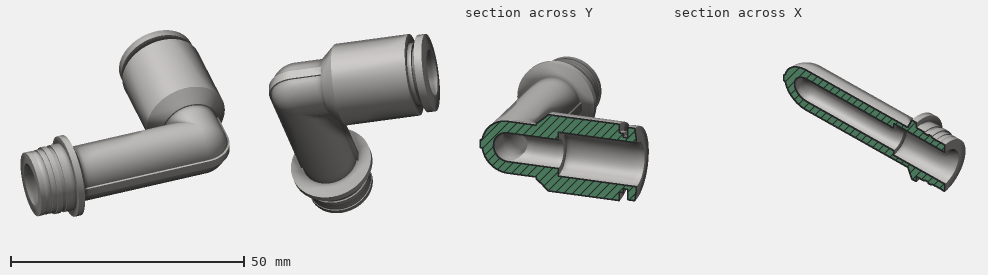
import cadquery as cq

overall_x = 38.35
overall_y = 47.15
end_dia = 17.7
arm_length = overall_x - end_dia / 2
stem_length = overall_y - end_dia / 2
tube_dia = 12.0
passage_dia = 6.5

rib_span = 12.75
rib_height = 2.0

body_dia = end_dia
release_ring_dia = 16.8
release_face_dia = 12.0
release_neck_dia = 12.0
collar_dia = 13.75
socket_bore_dia = 10.0
release_face_rise = 0.35
release_ring_end = 2.05
release_neck_end = 3.0
collar_end = 3.9
body_end = 20.2
shoulder_length = 2.85
shoulder_end_dia = rib_span
socket_bore_depth = 17.9

flange_dia = end_dia
plug_land_dia = 14.7
plug_dia = 14.0
seal_edge_dia = 13.6
plug_bore_dia = 9.3
lip_end = 1.1
seal_end = 2.5
front_groove_end = 3.65
ring_end = 4.75
rear_groove_end = 5.65
land_end = 7.85
flange_end = 9.25
flange_cone_end = 10.33
plug_bore_depth = 14.15

socket_plane = cq.Plane(origin=(-arm_length, 0, 0), xDir=(0, 1, 0), normal=(1, 0, 0))
plug_plane = cq.Plane(origin=(0, -stem_length, 0), xDir=(1, 0, 0), normal=(0, 1, 0))


def revolved(plane, profile):
    """Turn a closed (radius, depth) profile about the normal of the plane."""
    section = cq.Plane(origin=plane.origin, xDir=plane.xDir, normal=plane.xDir.cross(plane.zDir))
    return profile(cq.Workplane(section)).close().revolve(360, (0, 0), (0, 1))


def cylinder(plane, diameter, depth):
    return cq.Workplane(plane).circle(diameter / 2).extrude(depth)


def elbow(diameter):
    """Two round runs joined by a ball at the corner."""
    arm = cylinder(socket_plane, diameter, arm_length)
    stem = cylinder(plug_plane, diameter, stem_length)
    return arm.union(stem).union(cq.Workplane("XY").sphere(diameter / 2))


def socket_profile(sketch):
    return (
        sketch.moveTo(0, 0)
        .lineTo(release_face_dia / 2, 0)
        .lineTo(release_ring_dia / 2, release_face_rise)
        .lineTo(release_ring_dia / 2, release_ring_end)
        .lineTo(release_neck_dia / 2, release_ring_end)
        .lineTo(release_neck_dia / 2, release_neck_end)
        .lineTo(collar_dia / 2, release_neck_end)
        .lineTo(collar_dia / 2, collar_end)
        .lineTo(body_dia / 2, collar_end)
        .lineTo(body_dia / 2, body_end)
        .lineTo(shoulder_end_dia / 2, body_end + shoulder_length)
        .lineTo(0, body_end + shoulder_length)
    )


def plug_profile(sketch):
    seal_middle = (lip_end + seal_end) / 2
    return (
        sketch.moveTo(0, 0)
        .lineTo(plug_dia / 2, 0)
        .lineTo(plug_dia / 2, lip_end)
        .lineTo(seal_edge_dia / 2, lip_end)
        .threePointArc((plug_dia / 2, seal_middle), (seal_edge_dia / 2, seal_end))
        .lineTo(plug_dia / 2, seal_end)
        .lineTo(plug_dia / 2, front_groove_end)
        .lineTo(plug_land_dia / 2, front_groove_end)
        .lineTo(plug_land_dia / 2, ring_end)
        .lineTo(plug_dia / 2, ring_end)
        .lineTo(plug_dia / 2, rear_groove_end)
        .lineTo(plug_land_dia / 2, rear_groove_end)
        .lineTo(plug_land_dia / 2, land_end)
        .lineTo(flange_dia / 2, land_end)
        .lineTo(flange_dia / 2, flange_end)
        .lineTo(tube_dia / 2, flange_cone_end)
        .lineTo(0, flange_cone_end)
    )


def rib():
    """L-shaped slab, rounded at the outer corner, reaching into both end fittings."""
    half = rib_span / 2
    arm_end = -arm_length + body_end
    stem_end = -stem_length + land_end
    return (
        cq.Workplane("XY", origin=(0, 0, -rib_height / 2))
        .moveTo(arm_end, half)
        .lineTo(0, half)
        .radiusArc((half, 0), half)
        .lineTo(half, stem_end)
        .lineTo(-half, stem_end)
        .lineTo(-half, -half)
        .lineTo(arm_end, -half)
        .close()
        .extrude(rib_height)
    )


socket = revolved(socket_plane, socket_profile)
plug = revolved(plug_plane, plug_profile)
outside = elbow(tube_dia).union(rib()).union(socket).union(plug)

result = (
    outside.cut(elbow(passage_dia))
    .cut(cylinder(socket_plane, socket_bore_dia, socket_bore_depth))
    .cut(cylinder(plug_plane, plug_bore_dia, plug_bore_depth))
)